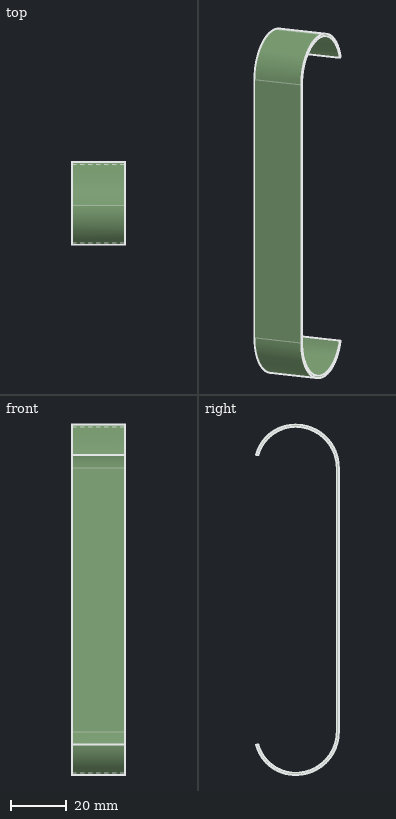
import cadquery as cq
import math

width = 19.0
depth = 29.7
height = 125.3
thickness = 0.9
back_radius = 15.5
tip_radius = 14.7

half_height = height / 2
back_center_z = half_height - back_radius
tip_center_z = half_height - tip_radius
tip_reach = depth - back_radius
tip_angle = math.asin(tip_reach / tip_radius)


def back_point(radius, angle):
    """Point on the back arc, at an angle from the crown towards +Y."""
    return radius * math.sin(angle), back_center_z + radius * math.cos(angle)


def tip_point(radius, angle):
    """Point on the tip arc, at an angle from the crown towards -Y."""
    return -radius * math.sin(angle), tip_center_z + radius * math.cos(angle)


def upper_half():
    """Upper hook with half of the flat back, cut at mid height."""
    back_inner = back_radius - thickness
    tip_inner = tip_radius - thickness
    back_middle = math.pi / 4
    tip_middle = tip_angle / 2
    return (
        cq.Workplane("YZ")
        .moveTo(back_radius, 0)
        .lineTo(back_radius, back_center_z)
        .threePointArc(back_point(back_radius, back_middle), (0, half_height))
        .threePointArc(tip_point(tip_radius, tip_middle), tip_point(tip_radius, tip_angle))
        .lineTo(*tip_point(tip_inner, tip_angle))
        .threePointArc(tip_point(tip_inner, tip_middle), (0, half_height - thickness))
        .threePointArc(back_point(back_inner, back_middle), (back_inner, back_center_z))
        .lineTo(back_inner, 0)
        .close()
        .extrude(width / 2, both=True)
    )


upper = upper_half()
result = upper.union(upper.mirror("XY")).clean()